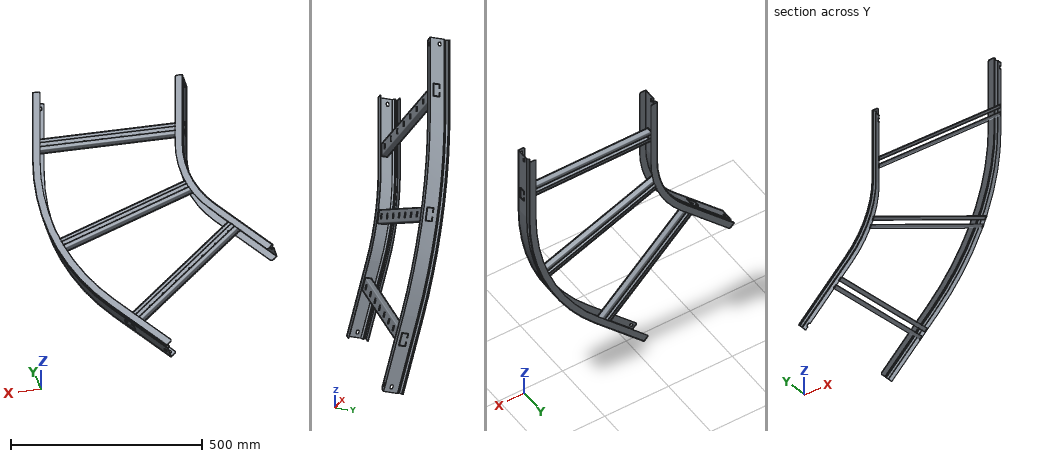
import cadquery as cq
import math


overall_height = 865.0
bend_angle = 45.0
inner_radius = 299.5
ladder_width = 401.0
outer_radius = inner_radius + ladder_width
bend_sine = math.sin(math.radians(bend_angle))
straight_length = (overall_height - outer_radius * bend_sine) / (1 + bend_sine)

rail_depth = 55.0
flange_width = 20.0
rail_sheet = 1.5
bead_depth = 5.0
bead_center = 45.0
bead_mouth = 11.0
bead_floor = 2.0
tip_chamfer = 3.5

fixing_slot_length = 11.0
fixing_slot_width = 7.0
fixing_slot_from_end = 16.0
fixing_slot_height = 27.0
lower_outer_slot_height = 19.0
flange_slot_inset = flange_width / 2

rung_from_end = 150.0
rung_front = 9.0
rung_depth = 19.0
rung_height = 37.0
rung_sheet = 2.0
rung_bend_radius = 3.0
rung_lip = 12.0
slot_count = 8
slot_span = 345.0
first_slot_inset = 25.0
slot_length = 15.0
slot_width = 7.0

upright = 90
corner_tolerance = 0.1


def closed_polygon(points):
    return cq.Wire.makePolygon([cq.Vector(*point) for point in points], close=True)


def rounded_section(points, outer_corners, inner_corners, outer_bend, sheet):
    """Closed section with the outside and inside of its sheet bends rounded."""
    wire = closed_polygon(points)
    for corners, radius in ((outer_corners, outer_bend), (inner_corners, outer_bend - sheet)):
        targets = [cq.Vector(*corner) for corner in corners]
        vertices = [
            vertex
            for vertex in wire.Vertices()
            if any((vertex.Center() - target).Length < corner_tolerance for target in targets)
        ]
        wire = wire.fillet2D(radius, vertices)
    return wire


def extrude_section(wire, direction):
    return cq.Workplane(obj=cq.Solid.extrudeLinear(wire, [], cq.Vector(*direction)))


def rail_section(web_radius, inward):
    """Channel section in the XY plane, its flanges pointing along X times `inward`."""

    def place(inset, height):
        return (web_radius + inward * inset, height, 0)

    bead = [
        (0, bead_center - bead_mouth / 2),
        (bead_depth, bead_center - bead_floor / 2),
        (bead_depth, bead_center + bead_floor / 2),
        (0, bead_center + bead_mouth / 2),
    ]
    outside = [(flange_width, 0), (0, 0), *bead, (0, rail_depth), (flange_width, rail_depth)]
    bead_inside = [(inset + rail_sheet, height) for inset, height in reversed(bead)]
    inside = [
        (flange_width, rail_depth - rail_sheet),
        (rail_sheet, rail_depth - rail_sheet),
        *bead_inside,
        (rail_sheet, rail_sheet),
        (flange_width, rail_sheet),
    ]
    return closed_polygon([place(*point) for point in outside + inside])


def to_lower_end(upper_body):
    """Carry a body of the upper straight to its mirrored place on the lower straight."""
    return upper_body.mirror("XY").rotate((0, 0, 0), (0, 1, 0), bend_angle)


def bend_body(wire):
    solid = cq.Solid.revolve(wire, [], bend_angle, cq.Vector(0, 0, 0), cq.Vector(0, 1, 0))
    return cq.Workplane(obj=solid)


def upper_straight(wire):
    return extrude_section(wire, (0, 0, straight_length))


def web_slot(web_radius, height):
    return (
        cq.Workplane("YZ", origin=(web_radius, height, straight_length - fixing_slot_from_end))
        .slot2D(fixing_slot_length, fixing_slot_width, upright)
        .extrude(rail_sheet, both=True)
    )


def front_flange_slot(web_radius, inward):
    center_x = web_radius + inward * flange_slot_inset
    return (
        cq.Workplane("XZ", origin=(center_x, 0, straight_length - fixing_slot_from_end))
        .slot2D(fixing_slot_length, fixing_slot_width, upright)
        .extrude(rail_sheet, both=True)
    )


def rail(web_radius, inward, lower_slot_height, flange_slots):
    """Side rail with chamfered flange tips and a fixing slot at each end."""
    section = rail_section(web_radius, inward)
    tip_side = ">X" if inward > 0 else "<X"
    straight = upper_straight(section).faces(">Z").edges(tip_side).chamfer(tip_chamfer)
    if flange_slots:
        straight = straight.cut(front_flange_slot(web_radius, inward))
    upper = straight.cut(web_slot(web_radius, fixing_slot_height))
    lower = to_lower_end(straight.cut(web_slot(web_radius, lower_slot_height)))
    return upper.union(bend_body(section)).union(lower).clean()


def ladder_envelope():
    """Everything between the outside faces of the two webs."""
    corners = [
        (inner_radius, 0, 0),
        (outer_radius, 0, 0),
        (outer_radius, rail_depth, 0),
        (inner_radius, rail_depth, 0),
    ]
    section = closed_polygon(corners)
    straight = upper_straight(section)
    return straight.union(bend_body(section)).union(to_lower_end(straight))


def rung_section(start_x):
    """C section, open to the back, centered on Z = 0."""
    half = rung_height / 2
    back = rung_front + rung_depth
    lip_end = half - rung_lip
    sheet = rung_sheet
    outer_corners = [(rung_front, -half), (rung_front, half), (back, half), (back, -half)]
    inner_corners = [
        (rung_front + sheet, -half + sheet),
        (rung_front + sheet, half - sheet),
        (back - sheet, half - sheet),
        (back - sheet, -half + sheet),
    ]
    upper_lip = [(back, lip_end), (back - sheet, lip_end)]
    lower_lip = [(back - sheet, -lip_end), (back, -lip_end)]
    outline = [
        *outer_corners[:3],
        *upper_lip,
        inner_corners[2],
        inner_corners[1],
        inner_corners[0],
        inner_corners[3],
        *lower_lip,
        outer_corners[3],
    ]
    return rounded_section(
        [(start_x, *point) for point in outline],
        [(start_x, *point) for point in outer_corners],
        [(start_x, *point) for point in inner_corners],
        rung_bend_radius,
        sheet,
    )


def rung(turn, shift, envelope):
    """Slotted rung, moved along Z by `shift`, turned about the bend axis and cut flush with the webs."""
    start_x = inner_radius - flange_width
    body = extrude_section(rung_section(start_x), (ladder_width + 2 * flange_width, 0, 0))
    first_slot = inner_radius + first_slot_inset
    pitch = slot_span / (slot_count - 1)
    slots = (
        cq.Workplane("XZ", origin=(0, rung_front, 0))
        .pushPoints([(first_slot + index * pitch, 0) for index in range(slot_count)])
        .slot2D(slot_length, slot_width, upright)
        .extrude(2 * rung_sheet, both=True)
    )
    placed = body.cut(slots).translate((0, 0, shift)).rotate((0, 0, 0), (0, 1, 0), turn)
    return placed.intersect(envelope)


rung_shift = straight_length - rung_from_end
rung_places = [(0, rung_shift), (bend_angle / 2, 0), (bend_angle, -rung_shift)]
envelope = ladder_envelope()
rungs = [rung(turn, shift, envelope) for turn, shift in rung_places]

inner_rail = rail(inner_radius, 1, fixing_slot_height, False)
outer_rail = rail(outer_radius, -1, lower_outer_slot_height, True)
for body in rungs:
    inner_rail = inner_rail.cut(body)
    outer_rail = outer_rail.cut(body)

bodies = [inner_rail, outer_rail, *rungs]
result = cq.Compound.makeCompound([body.solids().val() for body in bodies])